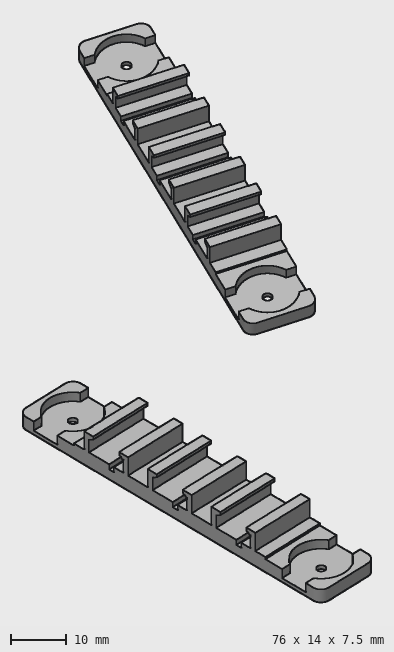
import cadquery as cq

length = 76.0
width = 14.0
plate_height = 3.0
corner_radius = 2.0

platform_length = 48.0
platform_top = 3.4

clip_count = 3
clip_pitch = 15.95
clip_outer_span = 11.0
clip_inner_span = 8.6
hook_gap = 6.5
clip_top = 7.5
hook_nose_bottom = 6.85
hook_root = 6.2

groove_width = 1.2
groove_floor = 2.3
groove_offset = -1.4

pocket_spacing = 62.3
pocket_diameter = 11.55
channel_width = 5.9
pocket_floor = 0.9
pin_hole_diameter = 1.8

clip_centers = [(i - (clip_count - 1) / 2) * clip_pitch for i in range(clip_count)]
pocket_centers = [-pocket_spacing / 2, pocket_spacing / 2]


def full_width_block(size_x, bottom, top, center_x=0):
    """Block across the whole width, between two heights."""
    block = cq.Workplane("XY").box(size_x, width, top - bottom, centered=(True, True, False))
    return block.translate((center_x, 0, bottom))


def hooked_wall(center_x, side):
    """One wall of a clip pair; side is -1 or 1, and the hook points to the pair's centre."""
    outer_x = center_x + side * clip_outer_span / 2
    inner_x = center_x + side * clip_inner_span / 2
    nose_x = center_x + side * hook_gap / 2
    outline = [
        (outer_x, plate_height),
        (outer_x, clip_top),
        (nose_x, clip_top),
        (nose_x, hook_nose_bottom),
        (inner_x, hook_root),
        (inner_x, plate_height),
    ]
    return cq.Workplane("XZ").polyline(outline).close().extrude(width / 2, both=True)


def end_pocket(center_x):
    """Volume removed for one end pocket and its through hole."""
    recess = (
        cq.Workplane("XY", origin=(center_x, 0, pocket_floor))
        .circle(pocket_diameter / 2)
        .extrude(plate_height - pocket_floor)
    )
    channel = full_width_block(channel_width, pocket_floor, plate_height, center_x)
    pin_hole = (
        cq.Workplane("XY", origin=(center_x, 0, 0))
        .circle(pin_hole_diameter / 2)
        .extrude(plate_height)
    )
    return recess.union(channel).union(pin_hole)


plate = full_width_block(length, 0, plate_height).edges("|Z").fillet(corner_radius)
result = plate.union(full_width_block(platform_length, 0, platform_top))

for clip_x in clip_centers:
    for wall_side in (-1, 1):
        result = result.union(hooked_wall(clip_x, wall_side))
    groove_x = clip_x + groove_offset
    result = result.cut(full_width_block(groove_width, groove_floor, platform_top, groove_x))

for pocket_x in pocket_centers:
    result = result.cut(end_pocket(pocket_x))